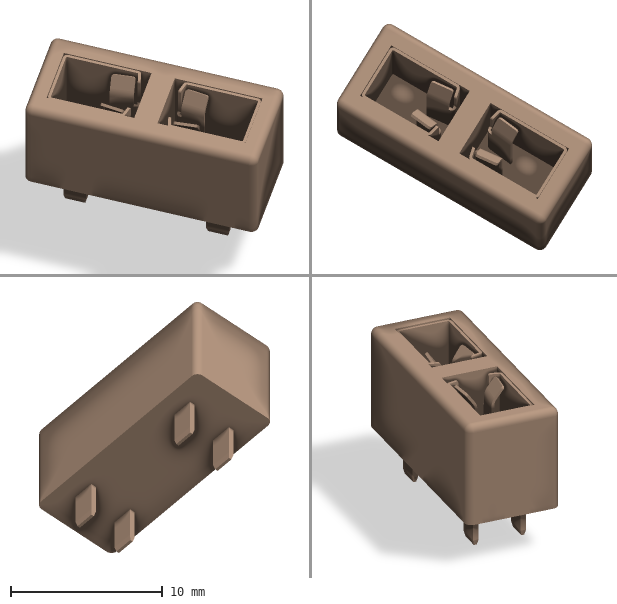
import cadquery as cq
import math

length = 16.0
width = 6.7
height = 7.35
edge_radius = 0.5

web = 1.6
pocket_length = 6.03
pocket_width = 4.0
floor = 1.0
pocket_start = web / 2
pocket_end = pocket_start + pocket_length
pocket_x = (pocket_start + pocket_end) / 2

sheet = 0.2
bend_radius = 0.08
clip_recess = 0.1
clip_top = height - clip_recess
back_gap = 0.03
lip_start = 1.5
lip_lean = 13.5
lip_end = 1.1
lip_corner_radius = 0.16
slot_bottom = 5.14

blade_start = 1.65
blade_end = 3.25
blade_face_y = 0.69
blade_slant = 6.3
curl_radius = 0.29
flare_start = 5.85
flare_radius = 0.96
flare_angle = 36.0
flare_length = 0.98
blade_corner_radius = 0.2

pin_x = 4.91
pin_y = 1.71
pin_width = 1.57
pin_thickness = 0.4
pin_length = 2.85
tip_length = 0.4
tip_inset = 0.1

select_margin = 0.02


def unit(start, end):
    """Unit direction from one point to another."""
    run = math.dist(start, end)
    return (end[0] - start[0]) / run, (end[1] - start[1]) / run


def inner_face(points):
    """Offset a clockwise open path to its right by the sheet thickness, with mitred corners."""
    directions = [unit(a, b) for a, b in zip(points, points[1:])]
    before = [directions[0]] + directions
    after = directions + [directions[-1]]
    offset = []
    for (x, y), (ux, uy), (vx, vy) in zip(points, before, after):
        shift = sheet / (1 + ux * vx + uy * vy)
        offset.append((x + shift * (uy + vy), y - shift * (ux + vx)))
    return offset


def round_upright_edge(solid, corner, radius):
    """Fillet the full-height edge that stands on a plan corner."""
    x, y = corner
    near = cq.selectors.BoxSelector(
        (x - select_margin, y - select_margin, 0), (x + select_margin, y + select_margin, height)
    )
    return solid.edges(near).fillet(radius)


def make_housing():
    body = cq.Workplane("XY").box(length, width, height, centered=(True, True, False))
    body = body.edges("|Z or >Z").fillet(edge_radius)
    pockets = (
        cq.Workplane("XY", origin=(0, 0, floor))
        .pushPoints([(-pocket_x, 0), (pocket_x, 0)])
        .rect(pocket_length, pocket_width)
        .extrude(height)
    )
    return body.cut(pockets)


def make_strip():
    """The +Y half of the left clip, folded from one strip: back, side wall, lip and blade."""
    side_y = pocket_width / 2
    back_x = -pocket_end + back_gap
    lean = math.tan(math.radians(lip_lean))
    slant = math.tan(math.radians(blade_slant))
    curl_y = blade_face_y + slant * (blade_start - lip_start + lean * side_y)
    curl_y = curl_y / (1 + slant * lean)
    curl_x = -lip_start + lean * (side_y - curl_y)
    tip_y = blade_face_y - slant * (blade_end - blade_start)

    back_corner = (back_x, side_y)
    lip_corner = (-lip_start, side_y)
    curl_corner = (curl_x, curl_y)
    outer = [(back_x, 0), back_corner, lip_corner, curl_corner, (-blade_end, tip_y)]
    inner = inner_face(outer)
    strip = cq.Workplane("XY").polyline(outer + inner[::-1]).close().extrude(clip_top)

    for index in (1, 2):
        strip = round_upright_edge(strip, outer[index], bend_radius + sheet)
        strip = round_upright_edge(strip, inner[index], bend_radius)
    strip = round_upright_edge(strip, curl_corner, curl_radius)

    slot = (
        cq.Workplane("XY", origin=(0, 0, slot_bottom))
        .rect(2 * (blade_end + sheet), 2 * lip_end)
        .extrude(height)
    )
    lip_top = cq.selectors.BoxSelector(
        (-blade_end, lip_end - select_margin, clip_top - select_margin),
        (0, lip_end + select_margin, clip_top + select_margin),
    )
    return strip.cut(slot).edges(lip_top).fillet(lip_corner_radius)


def make_blade():
    """Upper part of the blade, flared outwards to guide the mating contact."""
    angle = math.radians(flare_angle)
    sine, cosine = math.sin(angle), math.cos(angle)
    half_sine, half_cosine = math.sin(angle / 2), math.cos(angle / 2)
    back_radius = flare_radius - sheet

    def arc_point(radius, sin_value, cos_value):
        return flare_radius - radius * cos_value, flare_start + radius * sin_value

    face_end = arc_point(flare_radius, sine, cosine)
    back_end = arc_point(back_radius, sine, cosine)
    rise = (flare_length * sine, flare_length * cosine)
    blade_length = (blade_end - blade_start) / math.cos(math.radians(blade_slant))
    blade = (
        cq.Workplane("YZ")
        .moveTo(0, slot_bottom)
        .lineTo(0, flare_start)
        .threePointArc(arc_point(flare_radius, half_sine, half_cosine), face_end)
        .line(*rise)
        .lineTo(back_end[0] + rise[0], back_end[1] + rise[1])
        .lineTo(*back_end)
        .threePointArc(arc_point(back_radius, half_sine, half_cosine), (sheet, flare_start))
        .lineTo(sheet, slot_bottom)
        .close()
        .extrude(-blade_length)
    )
    for end in ("<X", ">X"):
        blade = blade.faces(end).edges(">Z").fillet(blade_corner_radius)
    blade = blade.rotate((0, 0, 0), (0, 0, 1), blade_slant)
    return blade.translate((-blade_start, blade_face_y, 0))


def make_pins():
    centres = [(sx * pin_x, sy * pin_y) for sx in (-1, 1) for sy in (-1, 1)]
    straight = pin_length - tip_length
    taper = math.degrees(math.atan2(tip_inset, tip_length))
    shanks = (
        cq.Workplane("XY", origin=(0, 0, floor / 2))
        .pushPoints(centres)
        .rect(pin_width, pin_thickness)
        .extrude(-straight - floor / 2)
    )
    tips = (
        cq.Workplane("XY", origin=(0, 0, -straight))
        .pushPoints(centres)
        .rect(pin_width, pin_thickness)
        .extrude(-tip_length, taper=taper)
    )
    return shanks.union(tips)


half_clip = make_strip().union(make_blade())
left_clip = half_clip.union(half_clip.mirror("XZ"))
right_clip = left_clip.mirror("YZ")
result = make_housing().union(left_clip).union(right_clip).union(make_pins()).clean()